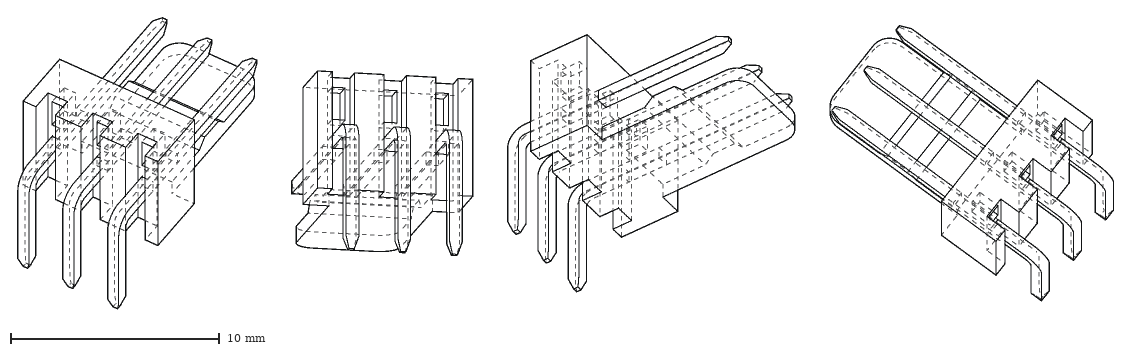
import cadquery as cq


pitch = 2.54
pin_count = 3
pin_positions = [(i - (pin_count - 1) / 2) * pitch for i in range(pin_count)]

housing_width = pin_count * pitch
housing_depth = 3.3
housing_height = 5.8

groove_width = 1.1
groove_depth = 1.1

pocket_height = 1.6
pocket_top_gap = 0.49
pocket_depth = groove_depth

tongue_length = 8.2
tongue_width = 2 * pitch
tongue_thickness = 0.81
tongue_corner_radius = 1.0

ridge_height = 0.49
ridge_base = 2.22
ridge_offset = 2.49

pin_size = 0.64
pin_axis_height = 2.61
pin_mating_reach = 7.48
pin_solder_reach = 2.01
pin_drop = 3.4
bend_outer_radius = 1.0
bend_inner_radius = bend_outer_radius - pin_size
tip_length = 0.6
tip_size = 0.26

housing_front = housing_depth
ridge_start = housing_front + ridge_offset


def box_between(x_centre, width, y_start, y_end, z_start, z_end):
    """Box centred on x_centre, spanning the given Y and Z ranges."""
    return (
        cq.Workplane("XY")
        .box(width, y_end - y_start, z_end - z_start, centered=(True, False, False))
        .translate((x_centre, y_start, z_start))
    )


def make_tongue():
    """Flat tongue with rounded free corners and a trapezoidal latch ridge."""
    plate = box_between(
        0, tongue_width, housing_front, housing_front + tongue_length, 0, tongue_thickness
    )
    plate = plate.edges("|Z and >Y").fillet(tongue_corner_radius)
    ridge = (
        cq.Workplane("YZ")
        .moveTo(ridge_start, tongue_thickness)
        .lineTo(ridge_start + ridge_height, tongue_thickness + ridge_height)
        .lineTo(ridge_start + ridge_base - ridge_height, tongue_thickness + ridge_height)
        .lineTo(ridge_start + ridge_base, tongue_thickness)
        .close()
        .extrude(tongue_width / 2, both=True)
    )
    return plate.union(ridge)


def make_tip(base_plane):
    """Truncated pyramid that tapers a pin end, growing along the normal of base_plane."""
    return (
        cq.Workplane(base_plane)
        .rect(pin_size, pin_size)
        .workplane(offset=tip_length)
        .rect(tip_size, tip_size)
        .loft(combine=True)
    )


def make_pin(x):
    """Square pin with a horizontal mating leg, a right-angle bend and a solder leg pointing down."""
    top = pin_axis_height + pin_size / 2
    back = -pin_solder_reach
    bend_y = back + bend_outer_radius
    bend_z = top - bend_outer_radius
    mating_shoulder = housing_front + pin_mating_reach - tip_length
    solder_shoulder = -pin_drop + tip_length

    mating_leg = box_between(x, pin_size, bend_y, mating_shoulder, top - pin_size, top)
    solder_leg = box_between(x, pin_size, back, back + pin_size, solder_shoulder, bend_z)
    bend = (
        cq.Workplane("YZ", origin=(x, bend_y, bend_z))
        .moveTo(0, bend_inner_radius)
        .lineTo(0, bend_outer_radius)
        .radiusArc((-bend_outer_radius, 0), -bend_outer_radius)
        .lineTo(-bend_inner_radius, 0)
        .radiusArc((0, bend_inner_radius), bend_inner_radius)
        .close()
        .extrude(pin_size / 2, both=True)
    )
    mating_tip = make_tip(cq.Plane((x, mating_shoulder, pin_axis_height), (1, 0, 0), (0, 1, 0)))
    solder_tip = make_tip(cq.Plane((x, back + pin_size / 2, solder_shoulder), (1, 0, 0), (0, 0, -1)))
    return mating_leg.union(bend).union(solder_leg).union(mating_tip).union(solder_tip)


def make_housing(pins):
    """Grooved block and tongue in one piece, with a matching hole for each pin."""
    body = box_between(0, housing_width, 0, housing_depth, 0, housing_height).union(make_tongue())
    pocket_top = housing_height - pocket_top_gap
    for x in pin_positions:
        groove = box_between(x, groove_width, 0, groove_depth, 0, housing_height)
        pocket = box_between(
            x, pin_size, groove_depth, groove_depth + pocket_depth, pocket_top - pocket_height, pocket_top
        )
        body = body.cut(groove).cut(pocket)
    for pin in pins:
        body = body.cut(pin)
    return body


pins = [make_pin(x) for x in pin_positions]
housing = make_housing(pins)

result = cq.Compound.makeCompound([housing.val(), *[pin.val() for pin in pins]])